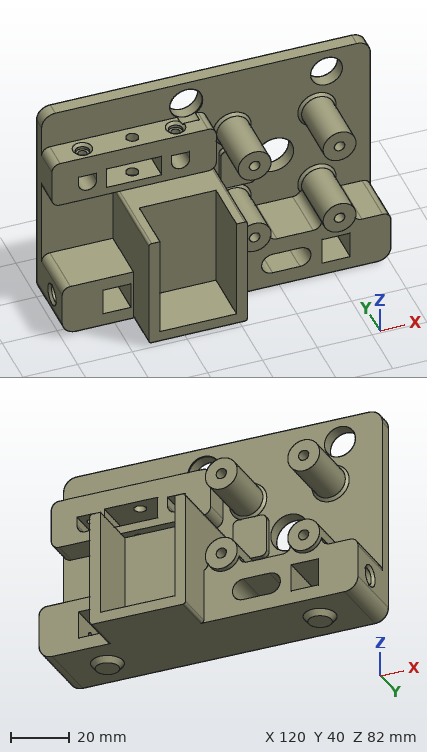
import cadquery as cq


plate_width = 120
plate_height = 80
plate_thickness = 5
plate_corner_radius = 5
block_corner_radius = 3

motor_center_x = 85
motor_center_z = 40
motor_hole_diameter = 14
standoff_spacing = 31
standoff_diameter = 12
standoff_base_diameter = 14
standoff_base_height = 1
standoff_reach = 27
standoff_bore_diameter = 3.8
standoff_blend_radius = 3

access_hole_z = 71
left_access_x = 52.8
left_access_diameter = 11.9
right_access_x = 104
right_access_diameter = 11.6
bar_relief_diameter = 12
bar_relief_start = 4.5
bar_relief_reach = 8.9

bar_length = 60
bar_bottom_z = 48
bar_top_z = 66
bar_reach = 15
bar_hole_reach = 10
window_left_x = 20
window_length = 20
window_height = 8
window_center_z = 55
cable_hole_x = 31.2
cable_hole_diameter = 4.4
nut_slot_center_x = 30
nut_slot_spacing = 34
nut_slot_width = 6.6
nut_slot_top_z = 58.2
nut_slot_bottom_z = 51.8
bar_screw_diameter = 3.2
bar_recess_diameter = 5
bar_recess_mouth_diameter = 7
bar_recess_depth = 2
bar_mouth_depth = 1

base_height = 20
base_reach = 25
base_hole_z = 10
square_window_size = 10.2
square_window_inset = 20
oblong_center_x = 81.8
oblong_center_z = 9.7
oblong_length = 18
oblong_height = 8
side_hole_reach = 15
side_hole_diameter = 6
side_hole_depth = 8
side_mouth_diameter = 8
side_mouth_depth = 1
side_screw_diameter = 3.6

foot_reach = 12.5
foot_height = 2
foot_top_diameter = 11.6
foot_bottom_diameter = 8.4

box_left_x = 26
box_width = 36
box_height = 43
box_reach = 40
box_edge_radius = 1
box_wall = 4
box_cavity_depth = 20

pad_center_x = 71
pad_width = 12.6
pad_height = 16
pad_thickness = 2
pad_corner_radius = 2


def block(x_min, x_max, z_min, z_max, near_reach, far_reach):
    """Rectangular block between two reaches from the plate's back."""
    size = (x_max - x_min, far_reach - near_reach, z_max - z_min)
    return cq.Workplane("XY").box(*size, centered=False).translate((x_min, -far_reach, z_min))


def disc(x, z, diameter, near_reach, far_reach):
    """Cylinder along Y between two reaches from the plate's back."""
    plane = cq.Workplane("XZ", origin=(x, -near_reach, z))
    return plane.circle(diameter / 2).extrude(far_reach - near_reach)


def cone(point, direction, start_diameter, end_diameter, length):
    """Truncated cone that starts at a point and runs along a direction."""
    solid = cq.Solid.makeCone(
        start_diameter / 2, end_diameter / 2, length, cq.Vector(*point), cq.Vector(*direction)
    )
    return cq.Workplane(obj=solid)


def rod(point, direction, diameter, length):
    """Cylinder that starts at a point and runs along a direction."""
    solid = cq.Solid.makeCylinder(diameter / 2, length, cq.Vector(*point), cq.Vector(*direction))
    return cq.Workplane(obj=solid)


def standoff_positions():
    half = standoff_spacing / 2
    return [
        (motor_center_x + side * half, motor_center_z + level * half)
        for side in (-1, 1)
        for level in (-1, 1)
    ]


def make_plate():
    plate = block(0, plate_width, 0, plate_height, 0, plate_thickness)
    return plate.edges("|Y").fillet(plate_corner_radius)


def make_base_block():
    """Base block with its upper face blended up into the two lower standoffs."""
    base = block(0, plate_width, 0, base_height, 0, base_reach)
    base = base.edges("|Y and >Z").fillet(block_corner_radius)
    base = base.edges("|Y and <Z").fillet(plate_corner_radius)
    half = standoff_spacing / 2
    standoff_z = motor_center_z - half
    rise = base_height + standoff_blend_radius - standoff_z
    center_distance = standoff_diameter / 2 + standoff_blend_radius
    offset = (center_distance**2 - rise**2) ** 0.5
    blend_z = base_height + standoff_blend_radius
    for standoff_x in (motor_center_x - half, motor_center_x + half):
        web = block(standoff_x - offset, standoff_x + offset, standoff_z - standoff_diameter / 2,
                    blend_z, plate_thickness, base_reach)
        for side in (-1, 1):
            arc_x = standoff_x + side * offset
            web = web.cut(disc(arc_x, blend_z, 2 * standoff_blend_radius, plate_thickness, base_reach))
        web_top = standoff_z + rise * standoff_diameter / 2 / center_distance
        web = web.intersect(block(0, plate_width, 0, web_top, plate_thickness, base_reach))
        base = base.union(web)
    return base


def make_bar():
    bar = block(0, bar_length, bar_bottom_z, bar_top_z, plate_thickness, bar_reach)
    return bar.edges("|Y").fillet(block_corner_radius)


def make_box():
    box = block(box_left_x, box_left_x + box_width, 0, box_height, plate_thickness, box_reach)
    return box.edges("|Y").fillet(box_edge_radius)


def make_box_cavity():
    cavity_left_x = box_left_x + box_wall
    cavity_right_x = box_left_x + box_width - box_wall
    return block(cavity_left_x, cavity_right_x, box_wall, box_height, box_reach - box_cavity_depth, box_reach)


def make_standoff(x, z):
    post = disc(x, z, standoff_diameter, plate_thickness, standoff_reach)
    base = cone((x, -plate_thickness, z), (0, -1, 0),
                standoff_base_diameter, standoff_diameter, standoff_base_height)
    return post.union(base)


def make_pad():
    pad = block(
        pad_center_x - pad_width / 2, pad_center_x + pad_width / 2,
        motor_center_z - pad_height / 2, motor_center_z + pad_height / 2,
        plate_thickness, plate_thickness + pad_thickness,
    )
    return pad.edges("|Y").fillet(pad_corner_radius)


def make_foot(x):
    return cone((x, -foot_reach, 0), (0, 0, -1), foot_top_diameter, foot_bottom_diameter, foot_height)


def stepped_hole(point, direction, mouth, recess, screw):
    """Countersunk mouth, wider recess and screw bore, each given as (diameter, depth)
    with the depth measured from the entry face."""
    mouth_diameter, mouth_depth = mouth
    recess_diameter, recess_depth = recess
    screw_diameter, screw_depth = screw
    hole = cone(point, direction, mouth_diameter, recess_diameter, mouth_depth)
    hole = hole.union(rod(point, direction, recess_diameter, recess_depth))
    return hole.union(rod(point, direction, screw_diameter, screw_depth))


def make_nut_slot(x):
    """D-shaped slot through bar and plate: flat top, round bottom."""
    radius = nut_slot_width / 2
    profile = (
        cq.Workplane("XZ")
        .moveTo(x - radius, nut_slot_top_z)
        .lineTo(x + radius, nut_slot_top_z)
        .lineTo(x + radius, nut_slot_bottom_z + radius)
        .threePointArc((x, nut_slot_bottom_z), (x - radius, nut_slot_bottom_z + radius))
        .close()
    )
    return profile.extrude(bar_reach)


def cut_bar_openings(body):
    body = body.cut(block(
        window_left_x, window_left_x + window_length,
        window_center_z - window_height / 2, window_center_z + window_height / 2, 0, bar_reach,
    ))
    cable_start = (cable_hole_x, -bar_hole_reach, bar_top_z)
    body = body.cut(rod(cable_start, (0, 0, -1), cable_hole_diameter, bar_top_z - bar_bottom_z))
    for side in (-1, 1):
        x = nut_slot_center_x + side * nut_slot_spacing / 2
        body = body.cut(make_nut_slot(x))
        body = body.cut(stepped_hole(
            (x, -bar_hole_reach, bar_top_z), (0, 0, -1),
            (bar_recess_mouth_diameter, bar_mouth_depth),
            (bar_recess_diameter, bar_recess_depth),
            (bar_screw_diameter, bar_top_z - window_center_z),
        ))
    return body


def cut_base_openings(body):
    half_window = square_window_size / 2
    for side_x, inward in ((0, 1), (plate_width, -1)):
        window_x = side_x + inward * square_window_inset
        body = body.cut(block(
            window_x - half_window, window_x + half_window,
            base_hole_z - half_window, base_hole_z + half_window, 0, base_reach,
        ))
        body = body.cut(stepped_hole(
            (side_x, -side_hole_reach, base_hole_z), (inward, 0, 0),
            (side_mouth_diameter, side_mouth_depth),
            (side_hole_diameter, side_hole_depth),
            (side_screw_diameter, square_window_inset),
        ))
    oblong = cq.Workplane("XZ", origin=(oblong_center_x, 0, oblong_center_z))
    return body.cut(oblong.slot2D(oblong_length, oblong_height).extrude(base_reach))


def cut_plate_holes(body):
    body = body.cut(disc(motor_center_x, motor_center_z, motor_hole_diameter, 0, plate_thickness))
    body = body.cut(disc(left_access_x, access_hole_z, left_access_diameter, 0, plate_thickness))
    relief = disc(left_access_x, access_hole_z, bar_relief_diameter, bar_relief_start, bar_relief_reach)
    body = body.cut(relief)
    body = body.cut(disc(right_access_x, access_hole_z, right_access_diameter, 0, plate_thickness))
    for x, z in standoff_positions():
        body = body.cut(disc(x, z, standoff_bore_diameter, 0, standoff_reach))
    return body


def make_part():
    body = make_plate().union(make_base_block()).union(make_bar()).union(make_box()).union(make_pad())
    for x, z in standoff_positions():
        body = body.union(make_standoff(x, z))
    for x in (square_window_inset, plate_width - square_window_inset):
        body = body.union(make_foot(x))
    body = body.cut(make_box_cavity())
    body = cut_bar_openings(body)
    body = cut_base_openings(body)
    return cut_plate_holes(body)


result = make_part()